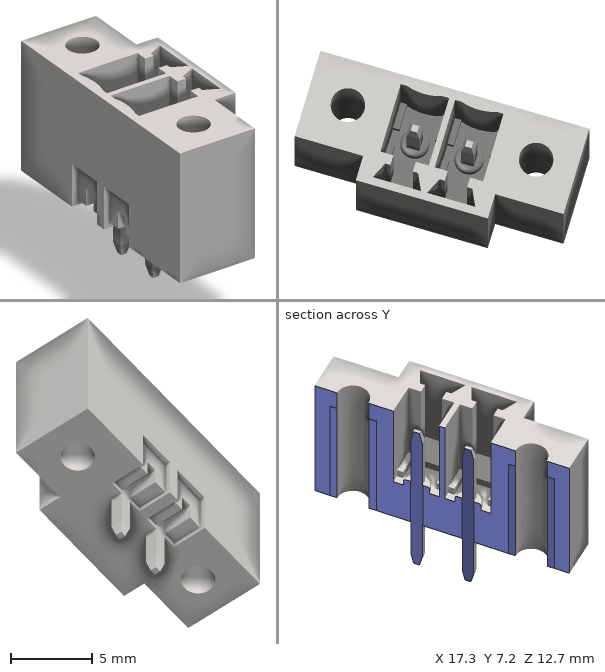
import cadquery as cq


length = 17.3
height = 9.17
flange_depth = 5.6
total_depth = 7.2
rear_block_width = 8.5
front_y = -flange_depth / 2
mount_hole_diameter = 2.13
mount_hole_spacing = 12.11
mount_positions = [-mount_hole_spacing / 2, mount_hole_spacing / 2]

insert_diameter = 3.11
insert_top_depth = 1.4
insert_height = height - insert_top_depth

pole_pitch = 3.5
pole_positions = [-pole_pitch / 2, pole_pitch / 2]

cavity_width = 3.11
cavity_front_y = front_y + 0.6
cavity_rear_y = front_y + 5.03
front_bulge_height = 0.19
neck_width = 1.44
neck_rear_y = front_y + 5.67
dovetail_narrow_width = 2.11
dovetail_rear_y = front_y + 6.71
ledge_z = 3.55
floor_z = 3.03

floor_width = 2.3
floor_rear_y = front_y + 4.74
side_notch_width = 1.04

pin_size = 0.81
pin_end_size = 0.42
pin_taper_length = 0.81
pin_top_z = 7.95
pin_bottom_z = -3.53

collar_diameter = 1.8
collar_height = 0.52
collar_fillet = 0.2

recess_width = 2.73
recess_height = 3.03
recess_depth = 0.4
underside_step = 0.36
slot_height = 1.6
slot_end_y = -pin_size / 2


def box(x_center, width, y_start, y_end, z_start, z_end):
    """Box centred on x_center in X, between the given Y and Z limits."""
    corner = (x_center - width / 2, y_start, z_start)
    return cq.Workplane("XY").box(width, y_end - y_start, z_end - z_start, centered=False).translate(corner)


def make_plug_cavity(x_center):
    """Socket with a bulged front wall and a dovetail keyway at the rear."""
    half_cavity = cavity_width / 2
    half_floor = floor_width / 2
    half_neck = neck_width / 2
    half_narrow = dovetail_narrow_width / 2
    socket = (
        cq.Workplane("XY", origin=(x_center, 0, ledge_z))
        .moveTo(-half_cavity, cavity_front_y)
        .lineTo(-half_floor, cavity_front_y)
        .threePointArc((0, cavity_front_y + front_bulge_height), (half_floor, cavity_front_y))
        .lineTo(half_cavity, cavity_front_y)
        .lineTo(half_cavity, cavity_rear_y)
        .lineTo(half_neck, cavity_rear_y)
        .lineTo(half_neck, neck_rear_y)
        .lineTo(half_narrow, neck_rear_y)
        .lineTo(half_cavity, dovetail_rear_y)
        .lineTo(-half_cavity, dovetail_rear_y)
        .lineTo(-half_narrow, neck_rear_y)
        .lineTo(-half_neck, neck_rear_y)
        .lineTo(-half_neck, cavity_rear_y)
        .lineTo(-half_cavity, cavity_rear_y)
        .close()
        .extrude(height - ledge_z)
    )
    lower_floor = (
        cq.Workplane("XY", origin=(x_center, 0, floor_z))
        .moveTo(-half_floor, cavity_front_y)
        .threePointArc((0, cavity_front_y + front_bulge_height), (half_floor, cavity_front_y))
        .lineTo(half_floor, floor_rear_y)
        .lineTo(-half_floor, floor_rear_y)
        .close()
        .extrude(ledge_z - floor_z)
    )
    half_notch = side_notch_width / 2
    side_notches = box(x_center, cavity_width, -half_notch, half_notch, floor_z, ledge_z)
    return socket.union(lower_floor).union(side_notches)


def make_front_recess(x_center):
    """Front recess with a raised underside and a slot that leads back to the pin."""
    recess = box(x_center, recess_width, front_y, front_y + recess_depth, 0, recess_height)
    underside = box(x_center, recess_width, front_y, slot_end_y, 0, underside_step)
    slot = box(x_center, pin_size, front_y, slot_end_y, 0, slot_height)
    return recess.union(underside).union(slot)


def make_collar(x_center):
    """Round collar with a rounded upper rim."""
    return (
        cq.Workplane("XY", origin=(x_center, 0, floor_z))
        .circle(collar_diameter / 2)
        .extrude(collar_height)
        .faces(">Z")
        .edges()
        .fillet(collar_fillet)
    )


def make_pin_hole(x_center):
    """Square hole through the housing floor and collar that the pin fills."""
    return box(x_center, pin_size, -pin_size / 2, pin_size / 2, 0, floor_z + collar_height)


def make_mount_hole(x_center):
    """Screw hole, enlarged below to seat the insert."""
    underside = cq.Workplane("XY", origin=(x_center, 0, 0))
    screw_hole = underside.circle(mount_hole_diameter / 2).extrude(height)
    insert_seat = underside.circle(insert_diameter / 2).extrude(insert_height)
    return screw_hole.union(insert_seat)


def make_housing():
    body = box(0, length, front_y, front_y + flange_depth, 0, height)
    body = body.union(box(0, rear_block_width, front_y, front_y + total_depth, 0, height))
    for x in pole_positions:
        body = body.cut(make_plug_cavity(x))
        body = body.cut(make_front_recess(x))
        body = body.union(make_collar(x))
        body = body.cut(make_pin_hole(x))
    for x in mount_positions:
        body = body.cut(make_mount_hole(x))
    return body


def make_pin_taper(x_center, z_start, direction):
    """Pin end that narrows from z_start; direction is 1 for up and -1 for down."""
    return (
        cq.Workplane("XY", origin=(x_center, 0, z_start))
        .rect(pin_size, pin_size)
        .workplane(offset=direction * pin_taper_length)
        .rect(pin_end_size, pin_end_size)
        .loft(ruled=True)
    )


def make_pin(x_center):
    shank_bottom_z = pin_bottom_z + pin_taper_length
    shank_top_z = pin_top_z - pin_taper_length
    shank = box(x_center, pin_size, -pin_size / 2, pin_size / 2, shank_bottom_z, shank_top_z)
    tail_end = make_pin_taper(x_center, shank_bottom_z, -1)
    contact_end = make_pin_taper(x_center, shank_top_z, 1)
    return shank.union(tail_end).union(contact_end)


def make_insert(x_center):
    """Sleeve that continues the mounting hole down to the underside."""
    return (
        cq.Workplane("XY", origin=(x_center, 0, 0))
        .circle(insert_diameter / 2)
        .circle(mount_hole_diameter / 2)
        .extrude(insert_height)
    )


housing = make_housing()
pins = [make_pin(x).val() for x in pole_positions]
inserts = [make_insert(x).val() for x in mount_positions]

result = cq.Compound.makeCompound([housing.val(), *pins, *inserts])